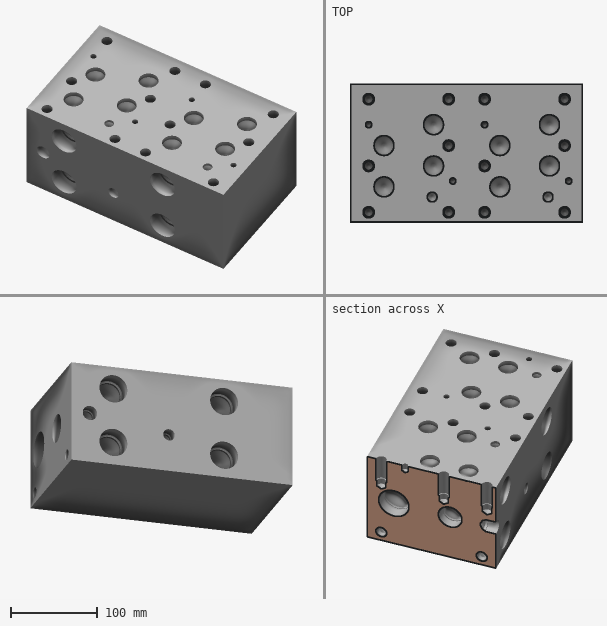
import cadquery as cq
import math

length = 266.7
width = 158.7
height = 120.5
drill_point_angle = 118.0

station_pitch = 133.4
station_starts = (0.0, station_pitch)


bolt_left_x = 20.8
bolt_right_x = 112.8
bolt_front_y = 11.2
bolt_back_y = 141.4
left_middle_y = 64.5
right_middle_y = 88.0
back_row_y = 112.0
bolt_points = (
    (bolt_left_x, bolt_front_y),
    (bolt_right_x, bolt_front_y),
    (bolt_left_x, left_middle_y),
    (bolt_right_x, right_middle_y),
    (bolt_left_x, bolt_back_y),
    (bolt_right_x, bolt_back_y),
)
bolt_steps = ((12.8, 32.0), (10.7, 40.0))

passage_left_x = 38.5
passage_right_x = 95.5
passage_front_y = 40.5
passage_points = (
    (passage_left_x, passage_front_y),
    (passage_left_x, right_middle_y),
    (passage_right_x, left_middle_y),
    (passage_right_x, back_row_y),
)
passage_steps = ((23.0, 6.0),)
pin_points = ((bolt_left_x, back_row_y), (117.5, 47.2))
pin_steps = ((7.2, 8.0),)
pilot_points = ((94.0, 28.8),)
pilot_steps = ((11.2, 3.2),)

work_port_x = 50.7
work_port_heights = (27.2, 93.5)
work_port_steps = ((33.5, 19.2), (28.5, 22.5))
drain_port_point = (22.5, 60.3)
drain_port_steps = ((17.3, 13.3), (14.5, 16.0))
gauge_port_point = (117.5, 44.5)
gauge_port_steps = ((14.0, 13.3), (10.7, 16.0))

main_port_z = 60.0
pressure_port_y = 56.5
pressure_port_steps = ((33.5, 18.7), (28.5, 32.0), (27.0, 34.7))
tank_port_y = 126.0
tank_port_steps = ((42.5, 19.2), (36.8, 34.7), (35.7, 37.3))
end_bolt_ys = (17.5, bolt_back_y)
end_bolt_z = 12.5
end_bolt_steps = ((12.8, 21.3), (10.7, 26.7))


def drilled_hole(steps, mouth, direction):
    """Stepped blind hole with a drill point; steps are (diameter, depth) from the mouth inward."""
    profile = cq.Workplane("XZ").moveTo(0, 0)
    level = 0.0
    for diameter, depth in steps:
        profile = profile.lineTo(diameter / 2, level).lineTo(diameter / 2, depth)
        level = depth
    last_radius = steps[-1][0] / 2
    tip = level + last_radius / math.tan(math.radians(drill_point_angle / 2))
    hole = profile.lineTo(0, tip).close().revolve(360, (0, 0, 0), (0, 1, 0)).val()
    return hole.moved(cq.Plane(origin=mouth, normal=direction).location)


def top_hole(x, y, steps):
    return drilled_hole(steps, (x, y, height), (0, 0, -1))


def front_hole(x, z, steps):
    return drilled_hole(steps, (x, 0, z), (0, 1, 0))


def end_hole(y, z, steps):
    return drilled_hole(steps, (0, y, z), (1, 0, 0))


def station_holes(start_x):
    """All top face holes and work ports of one valve station."""
    patterns = (
        (bolt_points, bolt_steps),
        (passage_points, passage_steps),
        (pin_points, pin_steps),
        (pilot_points, pilot_steps),
    )
    holes = [top_hole(start_x + x, y, steps) for points, steps in patterns for x, y in points]
    holes += [front_hole(start_x + work_port_x, z, work_port_steps) for z in work_port_heights]
    return holes


holes = [hole for start_x in station_starts for hole in station_holes(start_x)]
holes.append(front_hole(*drain_port_point, drain_port_steps))
holes.append(front_hole(*gauge_port_point, gauge_port_steps))
holes.append(end_hole(pressure_port_y, main_port_z, pressure_port_steps))
holes.append(end_hole(tank_port_y, main_port_z, tank_port_steps))
holes += [end_hole(y, end_bolt_z, end_bolt_steps) for y in end_bolt_ys]

block = cq.Workplane("XY").box(length, width, height, centered=False)
result = cq.Workplane(block.val().cut(*holes).Solids()[0])